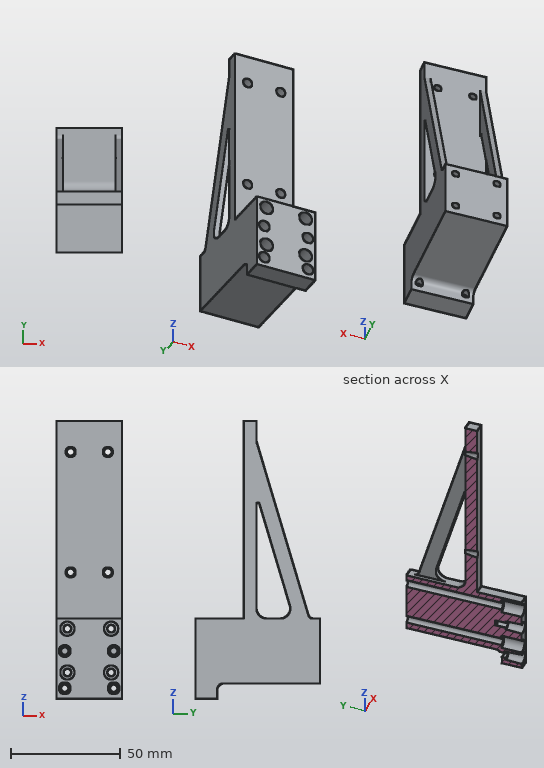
import cadquery as cq
import math

WIDTH = 30.0
DEPTH = 57.0
HEIGHT = 127.05

PLATE_HEIGHT = 90.25
BLOCK_HEIGHT = 29.8
FLANGE_DEPTH = 10.0
FLANGE_FILLET = 3.0
BLOCK_TOP = HEIGHT - PLATE_HEIGHT
BLOCK_BOTTOM = BLOCK_TOP - BLOCK_HEIGHT

PLATE_FRONT = 22.0
PLATE_THICKNESS = 6.0
PLATE_BACK = PLATE_FRONT + PLATE_THICKNESS
PLATE_FOOT_FILLET = 4.5

RIB_THICKNESS = 3.0
RIB_TOP = HEIGHT - 9.5
RIB_FOOT = 52.15
RIB_FOOT_FILLET = 2.0
STRUT_WIDTH = 7.0
WINDOW_FLOOR_FILLET = 4.5
WINDOW_TIP_FILLET = 0.6

SCREW_DIAMETER = 3.4
SCREW_HEAD_DIAMETER = 6.5
SCREW_HEAD_DEPTH = 10.0
SCREW_SPACING_X = 20.0
SCREW_SPACING_Z = 20.0
SCREW_BOTTOM = 12.05
SCREW_LEVELS = (SCREW_BOTTOM, SCREW_BOTTOM + SCREW_SPACING_Z)

INSERT_MOUTH_DIAMETER = 5.4
INSERT_END_DIAMETER = 4.8
INSERT_DEPTH = 8.0
INSERT_DRILL_DIAMETER = 3.4
INSERT_DRILL_DEPTH = FLANGE_DEPTH + FLANGE_FILLET
INSERT_SPACING_X = 22.4
INSERT_LEVELS = (4.85, 21.85)

PLATE_HOLE_MOUTH_DIAMETER = 4.6
PLATE_HOLE_END_DIAMETER = 3.5
PLATE_HOLE_SPACING_X = 17.0
PLATE_HOLE_SPACING_Z = 55.0
PLATE_HOLE_BOTTOM = BLOCK_TOP + 21.0
PLATE_HOLE_LEVELS = (PLATE_HOLE_BOTTOM, PLATE_HOLE_BOTTOM + PLATE_HOLE_SPACING_Z)


def extrude_across(outline, width):
    """Extrude a closed (Y, Z) outline symmetrically about X = 0."""
    return cq.Workplane("YZ").polyline(outline).close().extrude(width / 2, both=True)


def fillet_at(body, y, z, radius):
    """Round the edge parallel to X that passes through the given (Y, Z) point."""
    reach = 0.05
    low = (-WIDTH, y - reach, z - reach)
    high = (WIDTH, y + reach, z + reach)
    return body.edges("|X").edges(cq.selectors.BoxSelector(low, high)).fillet(radius)


def make_base():
    outline = [
        (0, 0),
        (FLANGE_DEPTH, 0),
        (FLANGE_DEPTH, BLOCK_BOTTOM),
        (DEPTH, BLOCK_BOTTOM),
        (DEPTH, BLOCK_TOP),
        (PLATE_BACK, BLOCK_TOP),
        (PLATE_BACK, HEIGHT),
        (PLATE_FRONT, HEIGHT),
        (PLATE_FRONT, BLOCK_TOP),
        (0, BLOCK_TOP),
    ]
    base = extrude_across(outline, WIDTH)
    base = fillet_at(base, FLANGE_DEPTH, BLOCK_BOTTOM, FLANGE_FILLET)
    return fillet_at(base, PLATE_BACK, BLOCK_TOP, PLATE_FOOT_FILLET)


def make_ribs():
    slope = (RIB_TOP - BLOCK_TOP) / (RIB_FOOT - PLATE_BACK)
    strut_run = STRUT_WIDTH / math.sin(math.atan(slope))
    window_foot = RIB_FOOT - strut_run
    window_tip = RIB_TOP - slope * strut_run

    ribs = extrude_across(
        [
            (PLATE_FRONT, BLOCK_BOTTOM),
            (DEPTH, BLOCK_BOTTOM),
            (DEPTH, BLOCK_TOP),
            (RIB_FOOT, BLOCK_TOP),
            (PLATE_BACK, RIB_TOP),
            (PLATE_FRONT, RIB_TOP),
        ],
        WIDTH,
    )
    ribs = fillet_at(ribs, RIB_FOOT, BLOCK_TOP, RIB_FOOT_FILLET)

    window = extrude_across(
        [(PLATE_BACK, BLOCK_TOP), (window_foot, BLOCK_TOP), (PLATE_BACK, window_tip)],
        WIDTH,
    )
    window = fillet_at(window, PLATE_BACK, BLOCK_TOP, PLATE_FOOT_FILLET)
    window = fillet_at(window, window_foot, BLOCK_TOP, WINDOW_FLOOR_FILLET)
    window = fillet_at(window, PLATE_BACK, window_tip, WINDOW_TIP_FILLET)

    gap = cq.Workplane("XY").box(WIDTH - 2 * RIB_THICKNESS, DEPTH, HEIGHT, centered=(True, False, False))
    return ribs.cut(window).cut(gap)


def cut_hole_grid(body, hole, spacing_x, levels):
    """Cut a hole shape, modelled on the Y axis, in two columns at the given heights."""
    for x in (-spacing_x / 2, spacing_x / 2):
        for z in levels:
            body = body.cut(hole.translate((x, 0, z)))
    return body


def straight_hole(diameter, depth):
    """Cylinder along +Y starting at Y = 0."""
    return cq.Workplane("XZ").circle(diameter / 2).extrude(-depth)


def tapered_hole(mouth_diameter, end_diameter, start_y, depth):
    """Cone along +Y that narrows from its mouth at start_y."""
    start = cq.Vector(0, start_y, 0)
    cone = cq.Solid.makeCone(mouth_diameter / 2, end_diameter / 2, depth, start, cq.Vector(0, 1, 0))
    return cq.Workplane(cone)


def cut_screw_holes(body):
    head = straight_hole(SCREW_HEAD_DIAMETER, SCREW_HEAD_DEPTH)
    hole = straight_hole(SCREW_DIAMETER, DEPTH).union(head)
    return cut_hole_grid(body, hole, SCREW_SPACING_X, SCREW_LEVELS)


def cut_insert_holes(body):
    taper = tapered_hole(INSERT_MOUTH_DIAMETER, INSERT_END_DIAMETER, 0, INSERT_DEPTH)
    hole = straight_hole(INSERT_DRILL_DIAMETER, INSERT_DRILL_DEPTH).union(taper)
    return cut_hole_grid(body, hole, INSERT_SPACING_X, INSERT_LEVELS)


def cut_plate_holes(body):
    hole = tapered_hole(PLATE_HOLE_MOUTH_DIAMETER, PLATE_HOLE_END_DIAMETER, PLATE_FRONT, PLATE_THICKNESS)
    return cut_hole_grid(body, hole, PLATE_HOLE_SPACING_X, PLATE_HOLE_LEVELS)


body = make_base().union(make_ribs())
body = cut_screw_holes(body)
body = cut_insert_holes(body)
result = cut_plate_holes(body)